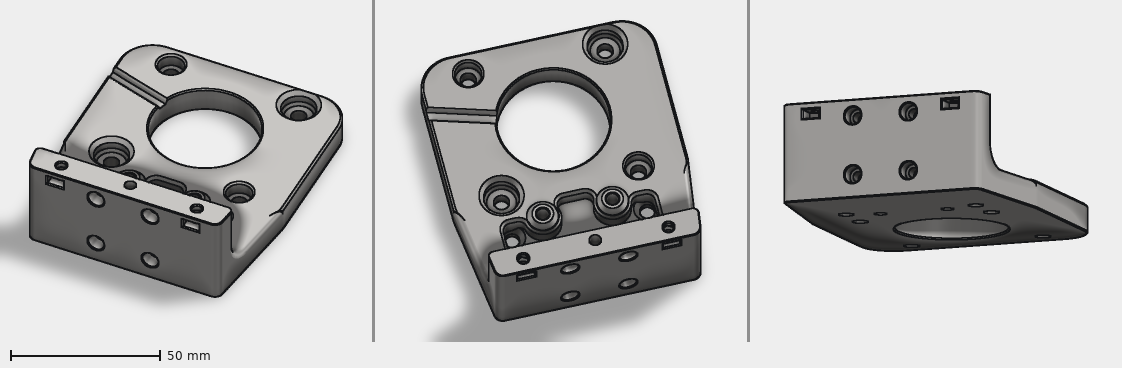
import cadquery as cq
import math

PLATE_WIDTH = 80.85
LENGTH = 96.5
HEIGHT = 33.5
PLATE_THICKNESS = 9.5
WALL_THICKNESS = 9.8
INNER_RADIUS = 8.0

WALL_FRONT_WIDTH = 70.4
TAPER_START = 40.25
TAPER_BLEND_RADIUS = 8.0
REAR_CORNER_RADIUS = 12.0
FRONT_CORNER_RADIUS = 3.0
BOTTOM_CHAMFER = 0.4
TOP_CHAMFER = 0.75
WALL_TOP_CHAMFER = 0.3
TAPER_ROUND = 2.0
RUN_OUT_EDGE_Y = 40.0
RUN_OUT_MIDDLE = (38.1, 36.2)
RUN_OUT_END = (37.2, 33.5)

BORE_DIAMETER = 38.1
BORE_CHAMFER = 0.5
BORE_Y = 65.1
MOTOR_SCREW_PITCH = 47.14
SCREW_HOLE = 5.3
HEAD_BORE = 9.1
HEAD_BORE_DEPTH = 4.7
HEAD_BORE_CHAMFER = 0.7
ACCESS_BORE = 12.0
ACCESS_BORE_DEPTH = 5.1
ACCESS_TOP_CHAMFER = 1.55
ACCESS_FLOOR_CHAMFER = 1.0

GROOVE_ANGLE = 16.7
GROOVE_DEPTH = 1.8
GROOVE_STEP_DEPTH = 0.8
GROOVE_TOP_WIDTH = 5.0
GROOVE_STEP_WIDTH = 3.9
GROOVE_FLOOR_WIDTH = 2.8

POCKET_WIDTH = 52.2
POCKET_FLOOR = 4.0
POCKET_FRONT = WALL_THICKNESS
POCKET_FRONT_RADIUS = 1.0
POCKET_RIM_CHAMFER = 1.05
LOBE_END = 31.2
TAB_END = 36.5
LOBE_RADIUS = 2.8
BOSS_X = 12.0
BOSS_Y = 30.7
BOSS_WALL_RADIUS = 6.3
BOSS_TOP_DIAMETER = 7.2
BOSS_HEIGHT = 1.85
BOSS_HOLE = 4.23
BOSS_HOLE_CHAMFER = 0.3
POCKET_HOLE = 5.12
POCKET_HOLE_SINK = 9.1
POCKET_HOLE_X = 23.3
POCKET_HOLE_Y = 27.9

WALL_SCREW_X = 10.0
WALL_SCREW_HEIGHTS = (8.0, 28.0)
WALL_SCREW_HOLE = 3.5
WALL_HEAD_BORE = 5.8
WALL_HEAD_DEPTH = 5.0
WALL_HEAD_CHAMFER = 0.35
TOP_SCREW_X = 25.0
TOP_SCREW_Y = 4.9
TOP_SCREW_HOLE = 3.4
TOP_SCREW_DEPTH = 12.0
TOP_SCREW_CHAMFER = 0.45
CENTRE_HOLE = 4.0
CENTRE_HOLE_Y = 5.9
CENTRE_HOLE_DEPTH = 10.0
NUT_WIDTH = 5.9
NUT_SLOT_HEIGHT = 3.0
NUT_SLOT_Z = 29.7
NUT_SLOT_CHAMFER = 0.45
NUT_TIP_WIDTH = 0.6

HALF_WIDTH = PLATE_WIDTH / 2
TAPER_SLOPE = (HALF_WIDTH - WALL_FRONT_WIDTH / 2) / TAPER_START
SIDES = (-1, 1)
MARGIN = 1.0
TAPER_OVERRUN = 10.0
HEXAGON_SLOPE = math.tan(math.radians(30))


def taper_x(y):
    """Half width of the tapered outline at a given Y."""
    return WALL_FRONT_WIDTH / 2 + TAPER_SLOPE * y


def symmetric_prism(right_side, height):
    """Prism over a polygon given by its +X points, mirrored about X = 0."""
    left_side = [(-x, y) for x, y in reversed(right_side)]
    return cq.Workplane("XY").polyline(right_side + left_side).close().extrude(height)


def outline_prism():
    right_side = [(WALL_FRONT_WIDTH / 2, 0), (HALF_WIDTH, TAPER_START), (HALF_WIDTH, LENGTH)]
    prism = symmetric_prism(right_side, HEIGHT)
    prism = prism.edges("|Z").edges("<Y").fillet(FRONT_CORNER_RADIUS)
    prism = prism.edges("|Z").edges(">Y").fillet(REAR_CORNER_RADIUS)
    knees = cq.selectors.BoxSelector(
        (-HALF_WIDTH - MARGIN, TAPER_START - MARGIN, 0),
        (HALF_WIDTH + MARGIN, TAPER_START + MARGIN, HEIGHT),
    )
    prism = prism.edges("|Z").edges(knees).fillet(TAPER_BLEND_RADIUS)
    prism = prism.faces("<Z").edges().chamfer(BOTTOM_CHAMFER)
    return prism.faces(">Z").edges().chamfer(WALL_TOP_CHAMFER)


def rear_zone():
    """Zone of the plate whose rim is chamfered; the rounded taper edge runs out at its border."""
    side = HALF_WIDTH + MARGIN
    far = LENGTH + MARGIN
    mid_x, mid_y = RUN_OUT_MIDDLE
    end_x, end_y = RUN_OUT_END
    return (
        cq.Workplane("XY")
        .moveTo(-side, far)
        .lineTo(-side, RUN_OUT_EDGE_Y)
        .lineTo(-HALF_WIDTH, RUN_OUT_EDGE_Y)
        .threePointArc((-mid_x, mid_y), (-end_x, end_y))
        .lineTo(end_x, end_y)
        .threePointArc((mid_x, mid_y), (HALF_WIDTH, RUN_OUT_EDGE_Y))
        .lineTo(side, RUN_OUT_EDGE_Y)
        .lineTo(side, far)
        .close()
        .extrude(HEIGHT)
    )


def rear_plate(outline):
    slab = cq.Workplane("XY").box(2 * PLATE_WIDTH, 2 * LENGTH, PLATE_THICKNESS, (True, True, False))
    return outline.intersect(slab).faces(">Z").edges().chamfer(TOP_CHAMFER).intersect(rear_zone())


def front_bracket(outline):
    """Tapered L-shaped part with its upper side edges rounded from plate to wall top."""
    far = TAPER_START + TAPER_OVERRUN
    bend_end_y = WALL_THICKNESS + INNER_RADIUS
    bend_end_z = PLATE_THICKNESS + INNER_RADIUS
    bend_mid = INNER_RADIUS * (1 - math.cos(math.radians(45)))
    profile = (
        cq.Workplane("YZ")
        .polyline(
            [(0, 0), (far, 0), (far, PLATE_THICKNESS), (WALL_THICKNESS, PLATE_THICKNESS),
             (WALL_THICKNESS, HEIGHT), (0, HEIGHT)]
        )
        .close()
        .extrude(HALF_WIDTH * 2, both=True)
    )
    corner = cq.selectors.NearestToPointSelector((0, WALL_THICKNESS, PLATE_THICKNESS))
    profile = profile.edges("|X").edges(corner).fillet(INNER_RADIUS)
    taper = symmetric_prism([(taper_x(0), 0), (taper_x(far), far)], HEIGHT)
    body = profile.intersect(taper)
    edge_points = [
        ((bend_end_y + far) / 2, PLATE_THICKNESS),
        (WALL_THICKNESS + bend_mid, PLATE_THICKNESS + bend_mid),
        (WALL_THICKNESS, (bend_end_z + HEIGHT) / 2),
    ]
    for side in SIDES:
        edges = []
        for y, z in edge_points:
            nearest = cq.selectors.NearestToPointSelector((side * taper_x(y), y, z))
            edges += body.edges(nearest).vals()
        body = body.newObject(edges).fillet(TAPER_ROUND)
    return body.intersect(outline).cut(rear_zone())


def pocket_prism():
    """Pocket whose rear edge runs through a lobe, round a boss and into the tab, all tangent."""
    half = POCKET_WIDTH / 2
    boss = cq.Vector(BOSS_X, BOSS_Y)
    centre_distance = BOSS_WALL_RADIUS + LOBE_RADIUS
    lobe_y = LOBE_END - LOBE_RADIUS
    tab_y = TAB_END - LOBE_RADIUS
    lobe = cq.Vector(BOSS_X + math.sqrt(centre_distance**2 - (BOSS_Y - lobe_y) ** 2), lobe_y)
    tab = cq.Vector(BOSS_X - math.sqrt(centre_distance**2 - (BOSS_Y - tab_y) ** 2), tab_y)
    to_lobe = boss + (lobe - boss) * (BOSS_WALL_RADIUS / centre_distance)
    to_tab = boss + (tab - boss) * (BOSS_WALL_RADIUS / centre_distance)
    right_half = (
        cq.Workplane("XY", origin=(0, 0, POCKET_FLOOR))
        .moveTo(0, POCKET_FRONT)
        .lineTo(half - POCKET_FRONT_RADIUS, POCKET_FRONT)
        .radiusArc((half, POCKET_FRONT + POCKET_FRONT_RADIUS), -POCKET_FRONT_RADIUS)
        .lineTo(half, lobe_y)
        .radiusArc((half - LOBE_RADIUS, LOBE_END), -LOBE_RADIUS)
        .lineTo(lobe.x, LOBE_END)
        .radiusArc((to_lobe.x, to_lobe.y), -LOBE_RADIUS)
        .threePointArc((BOSS_X, BOSS_Y - BOSS_WALL_RADIUS), (to_tab.x, to_tab.y))
        .radiusArc((tab.x, TAB_END), -LOBE_RADIUS)
        .lineTo(0, TAB_END)
        .close()
        .extrude(HEIGHT)
    )
    return right_half.union(right_half.mirror("YZ")).clean()


def cone(x, y, z, lower_diameter, upper_diameter, height):
    solid = cq.Solid.makeCone(
        lower_diameter / 2, upper_diameter / 2, height, cq.Vector(x, y, z), cq.Vector(0, 0, 1)
    )
    return cq.Workplane(solid)


def rod(x, y, z_min, z_max, diameter):
    return cq.Workplane("XY", origin=(x, y, z_min)).circle(diameter / 2).extrude(z_max - z_min)


def rim_chamfer_tools(pocket):
    """Cutters that bevel the pocket rim: over the flat plate, then round the bend to the wall."""
    bend_end = WALL_THICKNESS + INNER_RADIUS
    bend_z = PLATE_THICKNESS + INNER_RADIUS
    half = POCKET_WIDTH / 2
    bevel_bottom = PLATE_THICKNESS - POCKET_RIM_CHAMFER
    section = pocket.faces("<Z").wires().toPending()
    flare = section.extrude(POCKET_RIM_CHAMFER, taper=-45, combine=False)
    flare = flare.translate((0, 0, bevel_bottom - POCKET_FLOOR))
    flat_zone = cq.Workplane("XY", origin=(0, bend_end, 0)).box(
        PLATE_WIDTH, LENGTH, HEIGHT, (True, False, False)
    )
    bend_zone = cq.Workplane("XY", origin=(0, POCKET_FRONT, 0)).box(
        PLATE_WIDTH, bend_end - POCKET_FRONT, HEIGHT, (True, False, False)
    )
    ring = (
        cq.Workplane("XZ", origin=(0, bend_end, 0))
        .polyline(
            [(-half, bevel_bottom), (-half - POCKET_RIM_CHAMFER, PLATE_THICKNESS),
             (half + POCKET_RIM_CHAMFER, PLATE_THICKNESS), (half, bevel_bottom)]
        )
        .close()
        .revolve(360, (0, bend_z, 0), (1, bend_z, 0))
    )
    return flare.intersect(flat_zone), ring.intersect(bend_zone)


def bosses():
    return [
        cone(side * BOSS_X, BOSS_Y, PLATE_THICKNESS, BOSS_TOP_DIAMETER + 2 * BOSS_HEIGHT,
             BOSS_TOP_DIAMETER, BOSS_HEIGHT)
        for side in SIDES
    ]


def boss_holes():
    top = PLATE_THICKNESS + BOSS_HEIGHT
    mouth = BOSS_HOLE + 2 * BOSS_HOLE_CHAMFER
    tools = []
    for side in SIDES:
        x = side * BOSS_X
        tools.append(rod(x, BOSS_Y, 0, top, BOSS_HOLE))
        tools.append(cone(x, BOSS_Y, top - BOSS_HOLE_CHAMFER, BOSS_HOLE, mouth, BOSS_HOLE_CHAMFER))
    return tools


def pocket_holes(pocket):
    """Through holes in the pocket floor, their countersinks kept inside the pocket outline."""
    depth = (POCKET_HOLE_SINK - POCKET_HOLE) / 2
    inside = pocket.translate((0, 0, -POCKET_FLOOR))
    tools = []
    for side in SIDES:
        x = side * POCKET_HOLE_X
        sink = cone(x, POCKET_HOLE_Y, POCKET_FLOOR - depth, POCKET_HOLE, POCKET_HOLE_SINK, depth)
        tools.append(rod(x, POCKET_HOLE_Y, 0, POCKET_FLOOR, POCKET_HOLE))
        tools.append(sink.intersect(inside))
    return tools


def motor_bore():
    mouth = BORE_DIAMETER + 2 * BORE_CHAMFER
    return [
        rod(0, BORE_Y, 0, PLATE_THICKNESS, BORE_DIAMETER),
        cone(0, BORE_Y, PLATE_THICKNESS - BORE_CHAMFER, BORE_DIAMETER, mouth, BORE_CHAMFER),
        cone(0, BORE_Y, 0, mouth, BORE_DIAMETER, BORE_CHAMFER),
    ]


def head_bore(x, y):
    """Bevelled counterbore for a screw head."""
    mouth = HEAD_BORE + 2 * HEAD_BORE_CHAMFER
    bevel_z = PLATE_THICKNESS - HEAD_BORE_CHAMFER
    return [
        rod(x, y, PLATE_THICKNESS - HEAD_BORE_DEPTH, PLATE_THICKNESS, HEAD_BORE),
        cone(x, y, bevel_z, HEAD_BORE, mouth, HEAD_BORE_CHAMFER),
    ]


def access_bore(x, y):
    """Wide counterbore, bevelled at its mouth and tapered at its floor."""
    mouth = ACCESS_BORE + 2 * ACCESS_TOP_CHAMFER
    floor = ACCESS_BORE - 2 * ACCESS_FLOOR_CHAMFER
    floor_z = PLATE_THICKNESS - ACCESS_BORE_DEPTH
    return [
        rod(x, y, floor_z + ACCESS_FLOOR_CHAMFER, PLATE_THICKNESS, ACCESS_BORE),
        cone(x, y, floor_z, floor, ACCESS_BORE, ACCESS_FLOOR_CHAMFER),
        cone(x, y, PLATE_THICKNESS - ACCESS_TOP_CHAMFER, ACCESS_BORE, mouth, ACCESS_TOP_CHAMFER),
    ]


def motor_screws():
    """Four through holes; diagonal pairs share the same kind of counterbore."""
    tools = []
    for side_x in SIDES:
        for side_y in SIDES:
            x = side_x * MOTOR_SCREW_PITCH / 2
            y = BORE_Y + side_y * MOTOR_SCREW_PITCH / 2
            tools.append(rod(x, y, 0, PLATE_THICKNESS, SCREW_HOLE))
            tools += access_bore(x, y) if side_x == side_y else head_bore(x, y)
    return tools


def groove():
    floor_z = PLATE_THICKNESS - GROOVE_DEPTH
    step_z = PLATE_THICKNESS - GROOVE_STEP_DEPTH
    right = [
        (GROOVE_FLOOR_WIDTH / 2, floor_z),
        (GROOVE_STEP_WIDTH / 2, step_z),
        (GROOVE_TOP_WIDTH / 2, PLATE_THICKNESS),
    ]
    left = [(-y, z) for y, z in reversed(right)]
    bar = cq.Workplane("YZ").polyline(right + left).close().extrude(-PLATE_WIDTH)
    return bar.rotate((0, 0, 0), (0, 0, 1), -GROOVE_ANGLE).translate((0, BORE_Y, 0))


def wall_screws():
    """Counterbored holes running from the outer wall face towards +Y."""
    mouth = WALL_HEAD_BORE + 2 * WALL_HEAD_CHAMFER
    tools = []
    for side in SIDES:
        for z in WALL_SCREW_HEIGHTS:
            face = cq.Workplane("XZ", origin=(side * WALL_SCREW_X, 0, z))
            tools.append(face.circle(WALL_SCREW_HOLE / 2).extrude(-POCKET_FRONT))
            tools.append(face.circle(WALL_HEAD_BORE / 2).extrude(-WALL_HEAD_DEPTH))
            tools.append(face.circle(mouth / 2).extrude(-WALL_HEAD_CHAMFER, taper=45))
    return tools


def top_screws():
    mouth = TOP_SCREW_HOLE + 2 * TOP_SCREW_CHAMFER
    tools = [rod(0, CENTRE_HOLE_Y, HEIGHT - CENTRE_HOLE_DEPTH, HEIGHT, CENTRE_HOLE)]
    for side in SIDES:
        x = side * TOP_SCREW_X
        bevel_z = HEIGHT - TOP_SCREW_CHAMFER
        tools.append(rod(x, TOP_SCREW_Y, HEIGHT - TOP_SCREW_DEPTH, HEIGHT, TOP_SCREW_HOLE))
        tools.append(cone(x, TOP_SCREW_Y, bevel_z, TOP_SCREW_HOLE, mouth, TOP_SCREW_CHAMFER))
    return tools


def nut_slots():
    """Slots open at the outer wall face and ending in the point of a hexagon nut."""
    flat_end = TOP_SCREW_Y + NUT_WIDTH / 2 * HEXAGON_SLOPE
    tip_y = flat_end + (NUT_WIDTH - NUT_TIP_WIDTH) / 2 * HEXAGON_SLOPE
    right = [(NUT_WIDTH / 2, 0), (NUT_WIDTH / 2, flat_end), (NUT_TIP_WIDTH / 2, tip_y)]
    slot = symmetric_prism(right, NUT_SLOT_HEIGHT).translate((0, 0, NUT_SLOT_Z - NUT_SLOT_HEIGHT / 2))
    mouth = (
        cq.Workplane("XZ", origin=(0, 0, NUT_SLOT_Z))
        .rect(NUT_WIDTH + 2 * NUT_SLOT_CHAMFER, NUT_SLOT_HEIGHT + 2 * NUT_SLOT_CHAMFER)
        .extrude(-NUT_SLOT_CHAMFER, taper=45)
    )
    return [tool.translate((side * TOP_SCREW_X, 0, 0)) for side in SIDES for tool in (slot, mouth)]


outline = outline_prism()
pocket = pocket_prism()
result = front_bracket(outline).union(rear_plate(outline)).clean()
result = result.cut(pocket)
for tool in rim_chamfer_tools(pocket):
    result = result.cut(tool)
for boss in bosses():
    result = result.union(boss)
hole_tools = (
    motor_bore() + motor_screws() + pocket_holes(pocket) + boss_holes()
    + wall_screws() + top_screws() + nut_slots() + [groove()]
)
for tool in hole_tools:
    result = result.cut(tool)